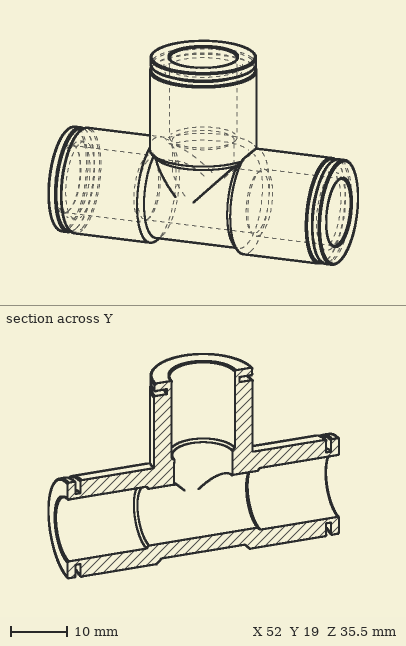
import cadquery as cq

PORT_REACH = 26.0
COLLAR_DIAMETER = 18.8
COLLAR_LENGTH = 1.55
NECK_DIAMETER = 14.0
NECK_LENGTH = 0.9
SLEEVE_DIAMETER = 19.0
RUN_SLEEVE_START = 7.95
BRANCH_SLEEVE_START = 7.6
CORE_DIAMETER = 17.05
BORE_DIAMETER = 11.0
SOCKET_DIAMETER = 12.0
SOCKET_DEPTH = 15.6
EDGE_BREAK = 0.2

collar_inner = PORT_REACH - COLLAR_LENGTH
sleeve_outer = collar_inner - NECK_LENGTH
taper = (SLEEVE_DIAMETER - CORE_DIAMETER) / 2
socket_cone = (SOCKET_DIAMETER - BORE_DIAMETER) / 2


def cylinder(diameter, start, end):
    """Vertical cylinder between two heights."""
    return cq.Workplane("XY").workplane(offset=start).circle(diameter / 2).extrude(end - start)


def port_body(sleeve_inner):
    """Solid port pointing up, from the core to the outer face."""
    core = cylinder(CORE_DIAMETER, 0, sleeve_outer)
    sleeve = (
        cylinder(SLEEVE_DIAMETER, sleeve_inner, sleeve_outer)
        .faces("<Z").chamfer(taper)
        .faces(">Z").chamfer(EDGE_BREAK)
    )
    neck = cylinder(NECK_DIAMETER, 0, PORT_REACH)
    collar = cylinder(COLLAR_DIAMETER, collar_inner, PORT_REACH).edges().chamfer(EDGE_BREAK)
    return core.union(sleeve).union(neck).union(collar)


def port_bore():
    """Through bore with a cone-bottomed tube socket and a flared mouth, pointing up."""
    bore = cylinder(BORE_DIAMETER, 0, PORT_REACH)
    socket = cylinder(SOCKET_DIAMETER, PORT_REACH - SOCKET_DEPTH, PORT_REACH).faces("<Z").chamfer(socket_cone)
    flare = (
        cylinder(SOCKET_DIAMETER + 2 * EDGE_BREAK, PORT_REACH - EDGE_BREAK, PORT_REACH + EDGE_BREAK)
        .faces("<Z").chamfer(EDGE_BREAK)
    )
    return bore.union(socket).union(flare)


def tee(run_port, branch_port):
    """Turn the run port to the left and to the right and join both with the branch port."""
    left = run_port.rotate((0, 0, 0), (0, 1, 0), -90)
    right = run_port.rotate((0, 0, 0), (0, 1, 0), 90)
    return left.union(right).union(branch_port)


body = tee(port_body(RUN_SLEEVE_START), port_body(BRANCH_SLEEVE_START))
bores = tee(port_bore(), port_bore())
result = body.cut(bores)